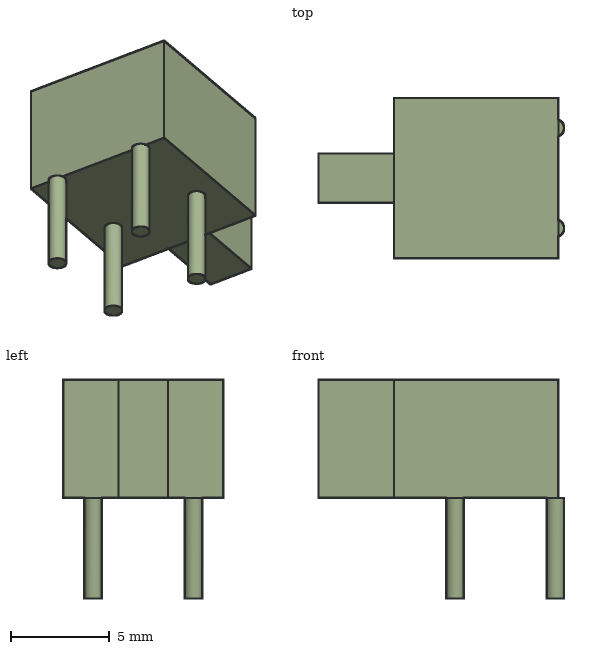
import cadquery as cq

total_length = 12.46
total_height = 11.09

housing_length = 8.34
housing_width = 8.12
block_height = 5.99
lever_length = 3.83
lever_width = 2.5

pin_diameter = 0.9
pin_pitch = 5.08
pin_length = total_height - block_height
rear_pin_x = total_length - pin_diameter / 2
front_pin_x = rear_pin_x - pin_pitch


def make_block(start_x, length, width):
    """Block standing on Z = 0, centred on Y, running from start_x along +X."""
    return (
        cq.Workplane("XY")
        .box(length, width, block_height, centered=(False, True, False))
        .translate((start_x, 0, 0))
    )


def make_lever():
    return make_block(0, lever_length, lever_width)


def make_housing():
    return make_block(lever_length, housing_length, housing_width)


def make_pin(x, y):
    """Round pin hanging down from Z = 0."""
    return cq.Workplane("XY").center(x, y).circle(pin_diameter / 2).extrude(-pin_length)


lever = make_lever()
housing = make_housing()
pins = [
    make_pin(x, y)
    for x in (front_pin_x, rear_pin_x)
    for y in (-pin_pitch / 2, pin_pitch / 2)
]

result = cq.Compound.makeCompound([housing.val(), lever.val(), *[pin.val() for pin in pins]])